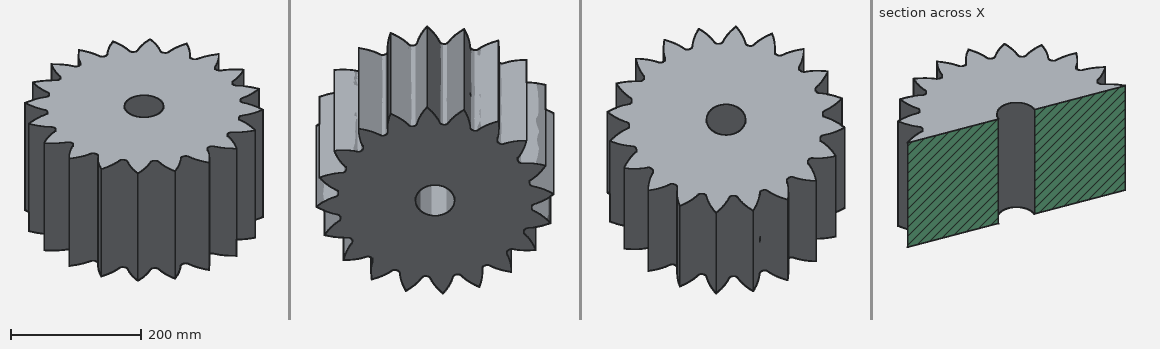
import cadquery as cq
import math

tooth_count = 20
tip_diameter = 366.0
base_diameter = 282.0
fillet_center_radius = 155.2
root_land_width = 2.0
face_width = 200.0
bore_diameter = 60.0
flank_steps = 6
fillet_steps = 4

tip_radius = tip_diameter / 2
base_radius = base_diameter / 2
half_pitch = math.pi / tooth_count


def roll_length(radius):
    """Length of the base circle tangent that reaches the given radius."""
    return math.sqrt(radius**2 - base_radius**2)


def involute_angle(roll):
    """Polar angle swept by the involute at the given roll length."""
    return roll / base_radius - math.atan(roll / base_radius)


def polar(radius, angle):
    return (radius * math.cos(angle), radius * math.sin(angle))


tip_roll = roll_length(tip_radius)
tip_angle = involute_angle(tip_roll)
fillet_center_roll = roll_length(fillet_center_radius)
fillet_center_angle = half_pitch - root_land_width / 2 / fillet_center_radius
fillet_radius = base_radius * (fillet_center_angle - tip_angle + involute_angle(fillet_center_roll))
flank_start_roll = fillet_center_roll - fillet_radius


def half_tooth_points():
    """One side of the tooth that points along +X: tip, involute flank, then root fillet."""
    points = []
    for step in range(flank_steps + 1):
        roll = tip_roll + (flank_start_roll - tip_roll) * step / flank_steps
        points.append(polar(math.hypot(base_radius, roll), tip_angle - involute_angle(roll)))
    center_x, center_y = polar(fillet_center_radius, fillet_center_angle)
    contact_x, contact_y = points[-1]
    contact_direction = math.atan2(contact_y - center_y, contact_x - center_x)
    bottom_direction = fillet_center_angle - math.pi
    for step in range(1, fillet_steps + 1):
        direction = contact_direction + (bottom_direction - contact_direction) * step / fillet_steps
        offset_x, offset_y = polar(fillet_radius, direction)
        points.append((center_x + offset_x, center_y + offset_y))
    return points


def turned(points, angle):
    return [polar(math.hypot(x, y), math.atan2(y, x) + angle) for x, y in points]


def gear_outline():
    falling_side = half_tooth_points()
    rising_side = [(x, -y) for x, y in reversed(falling_side)]
    outline = cq.Workplane("XY").moveTo(*rising_side[0])
    for tooth in range(tooth_count):
        tooth_angle = 2 * half_pitch * tooth
        if tooth > 0:
            outline = outline.lineTo(*turned(rising_side, tooth_angle)[0])
        outline = outline.spline(turned(rising_side, tooth_angle)[1:], includeCurrent=True)
        outline = outline.spline(turned(falling_side, tooth_angle)[1:], includeCurrent=True)
    return outline.close()


gear = gear_outline().extrude(face_width)
bore = cq.Workplane("XY").circle(bore_diameter / 2).extrude(face_width)
result = gear.cut(bore)